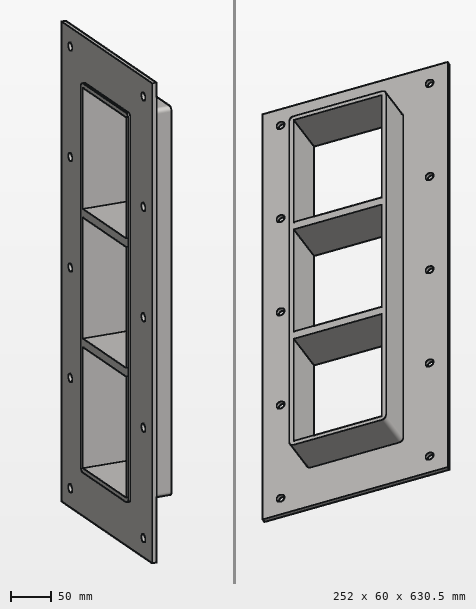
import cadquery as cq

plate_width = 252.0
plate_height = 630.5
plate_thickness = 6.0

sleeve_depth = 60.0
front_lip = 3.0
wall = 6.0
corner_radius = wall

window_count = 3
window_width = 120.0
window_height = 159.0
divider = 11.5
window_pitch = window_height + divider
sleeve_width = window_width + 2 * wall
sleeve_height = window_count * window_height + (window_count - 1) * divider + 2 * wall

hole_diameter = 11.0
hole_columns = 2
hole_rows = 5
hole_spacing_x = 203.0
hole_spacing_z = 145.0


def block(width, depth, height, front):
    """Box centred in X and Z, running back along +Y from the given front face."""
    return cq.Workplane("XY").box(width, depth, height).translate((0, front + depth / 2, 0))


plate = block(plate_width, plate_thickness, plate_height, front_lip)

sleeve = block(sleeve_width, sleeve_depth, sleeve_height, 0).edges("|Y").fillet(corner_radius)

windows = (
    cq.Workplane("XZ")
    .rarray(window_width, window_pitch, 1, window_count)
    .rect(window_width, window_height)
    .extrude(-sleeve_depth)
)

mounting_holes = (
    cq.Workplane("XZ")
    .rarray(hole_spacing_x, hole_spacing_z, hole_columns, hole_rows)
    .circle(hole_diameter / 2)
    .extrude(-sleeve_depth)
)

result = plate.union(sleeve).cut(windows).cut(mounting_holes)